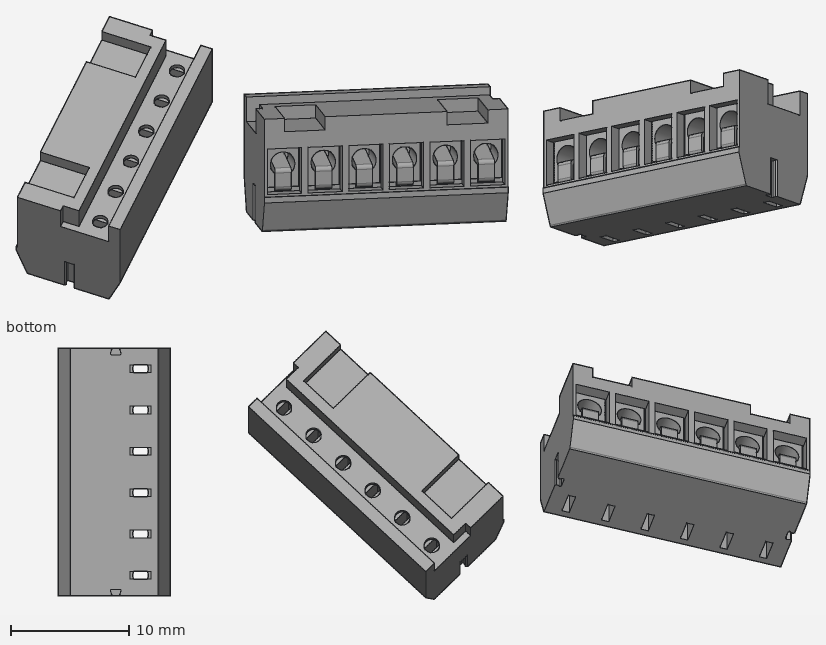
import cadquery as cq
import math


length = 21
height = 10.0
ledge = 0.1
overall_depth = 9.5
depth = overall_depth - ledge
pole_count = 6
pitch = length / pole_count
pole_centers = [(i - (pole_count - 1) / 2) * pitch for i in range(pole_count)]

ledge_top = 3.21
taper_top = 2.73
taper_inset = 0.97
base_edge_height = 0.13
base_edge_width = 0.08

channel_start = 5.4
back_wall = 1.05
channel_end = depth - back_wall
channel_depth = 2.15
channel_floor = height - channel_depth
notch_start = 3.95
notch_length = 0.59

pocket_run = 4.47
pocket_depth = 1.15

pin_x = (channel_start + channel_end) / 2
pin_diameter = 1.3
pin_hole_depth = 0.4
slot_width = 0.65
slot_run = 1.8

window_width = 2.95
window_bottom = 3.42
window_top = 7.4
window_depth = 1.0
plate_width = 2.73
plate_bottom = 3.82
plate_thickness = 0.1

wire_diameter = 2.1
wire_z = 5.82
wire_hole_depth = 3.15

lip_width = 1.4
lip_bottom = 3.53
lip_top = 5.5
lip_reach = 0.4
lip_radius = 0.38
ramp_angle = math.radians(10)

key_x = 4.77
key_height = ledge_top
key_mouth = 0.46
key_neck = 0.34
key_neck_depth = key_mouth - key_neck
key_wide_depth = 0.46
key_back = 0.35
key_depth = key_wide_depth + key_mouth - key_back


def box(x_start, x_end, y_center, y_width, z_start, z_end):
    """Box between two X and two Z positions, centred on y_center."""
    size = (x_end - x_start, y_width, z_end - z_start)
    block = cq.Workplane("XY").box(*size, centered=(False, True, False))
    return block.translate((x_start, y_center, z_start))


def make_housing():
    outline = [
        (taper_inset + base_edge_width - ledge, 0),
        (taper_inset - ledge, base_edge_height),
        (-ledge, taper_top),
        (-ledge, ledge_top),
        (0, ledge_top),
        (0, height),
        (channel_start, height),
        (channel_start, channel_floor),
        (channel_end, channel_floor),
        (channel_end, height),
        (depth, height),
        (depth, taper_top),
        (depth - taper_inset, base_edge_height),
        (depth - taper_inset - base_edge_width, 0),
    ]
    return cq.Workplane("XZ").polyline(outline).close().extrude(length / 2, both=True)


def make_notch(end):
    y_center = end * (length - notch_length) / 2
    return box(notch_start, channel_start, y_center, notch_length, channel_floor, height)


def make_pocket(end):
    y_center = end * (length / 2 - pitch)
    return box(0, pocket_run, y_center, pitch, height - pocket_depth, height)


def make_keyway():
    """Dovetail keyway, open at the base, in the -Y end face."""
    right_side = [
        (key_mouth, 0),
        (key_neck, key_neck_depth),
        (key_mouth, key_wide_depth),
        (key_back, key_depth),
    ]
    left_side = [(-x, y) for x, y in reversed(right_side)]
    keyway = cq.Workplane("XY").polyline(right_side + left_side).close().extrude(key_height)
    return keyway.translate((key_x, -length / 2, 0))


def make_pin_socket(y):
    round_bottom = channel_floor - pin_hole_depth
    round_hole = (
        cq.Workplane("XY", origin=(pin_x, y, round_bottom)).circle(pin_diameter / 2).extrude(pin_hole_depth)
    )
    slot = box(pin_x - slot_run / 2, pin_x + slot_run / 2, y, slot_width, 0, round_bottom)
    return round_hole.union(slot)


def make_window(y):
    return box(0, window_depth, y, window_width, window_bottom, window_top)


def make_clamp_plate(y):
    return box(window_depth - plate_thickness, window_depth, y, plate_width, plate_bottom, window_top)


def make_wire_hole(y):
    plane = cq.Workplane("YZ", origin=(window_depth - plate_thickness, y, wire_z))
    return plane.circle(wire_diameter / 2).extrude(plate_thickness + wire_hole_depth)


def make_lip(y):
    """Rounded clamp lip with a ramp rising from it to the end of the wire hole."""
    lip_front = window_depth - lip_reach
    round_x = lip_front + lip_radius
    upper_round_z = lip_top - lip_radius
    ramp_start_x = round_x - lip_radius * math.sin(ramp_angle)
    ramp_start_z = upper_round_z + lip_radius * math.cos(ramp_angle)
    ramp_end_x = window_depth + wire_hole_depth
    ramp_end_z = ramp_start_z + (ramp_end_x - ramp_start_x) * math.tan(ramp_angle)
    lip = (
        cq.Workplane("XZ")
        .moveTo(ramp_end_x, lip_bottom)
        .lineTo(round_x, lip_bottom)
        .radiusArc((lip_front, lip_bottom + lip_radius), lip_radius)
        .lineTo(lip_front, upper_round_z)
        .radiusArc((ramp_start_x, ramp_start_z), lip_radius)
        .lineTo(ramp_end_x, ramp_end_z)
        .close()
        .extrude(lip_width / 2, both=True)
    )
    return lip.translate((0, y, 0))


result = make_housing()
for end in (-1, 1):
    result = result.cut(make_notch(end)).cut(make_pocket(end))

keyway = make_keyway()
result = result.cut(keyway).cut(keyway.mirror("XZ"))

for y in pole_centers:
    result = result.cut(make_pin_socket(y))
    result = result.cut(make_window(y)).union(make_clamp_plate(y))
    result = result.cut(make_wire_hole(y)).union(make_lip(y))